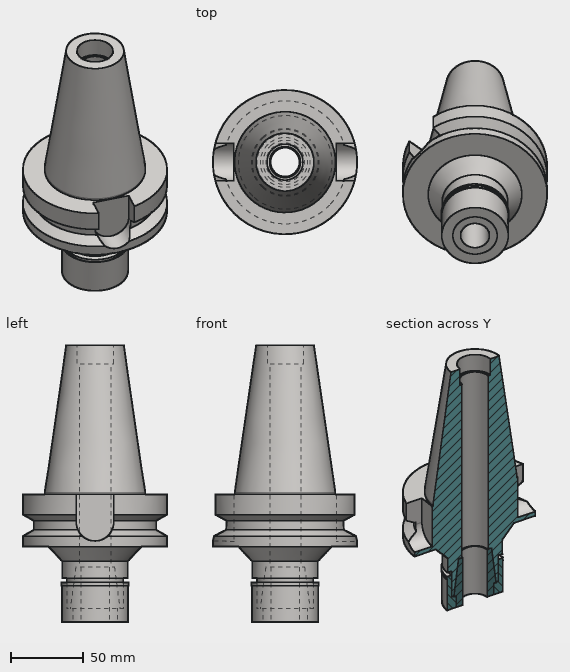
import cadquery as cq

total_height = 191.8
taper_length = 101.8
flange_gap = 1.5
flange_thickness = 36.0
gauge_z = total_height - taper_length
flange_top_z = gauge_z - flange_gap
flange_bottom_z = flange_top_z - flange_thickness
upper_rim_height = 14.0
lower_rim_height = 7.3
groove_flank_height = 4.2
neck_top_z = 42.2
neck_bottom_z = 30.5

taper_large_radius = 35.0
taper_slope = 7 / 48
taper_small_radius = taper_large_radius - taper_slope * taper_length
flange_diameter = 100.0
flange_radius = flange_diameter / 2
groove_radius = 42.5
shoulder_radius = 32.5
neck_radius = 22.8
thread_radius = 19.5

drawbar_bore_radius = 12.5
drawbar_bore_depth = 13.0
passage_radius = 10.7

slot_width = 25.9
slot_depth = 32.2
slot_floor_x = 35.5

nut_radius = 23.0
nut_rim_radius = 23.4
nut_rim_bottom_z = 25.3
nut_top_z = 27.6

nut_seat_z = 9.5

collet_nose_radius = 15.3
collet_large_radius = 17.3
collet_small_radius = 13.5
collet_bore_radius = 10.0
collet_height = 38.4


def revolve_profile(points):
    """Revolve a closed (radius, z) outline around the Z axis."""
    return cq.Workplane("XZ").polyline(points).close().revolve(360, (0, 0, 0), (0, 1, 0))


def make_drive_slot(side):
    """Round-ended slot cutter open at the flange top; side is +1 or -1 along X."""
    end_radius = slot_width / 2
    end_center_z = flange_top_z - slot_depth + end_radius
    return (
        cq.Workplane("YZ")
        .workplane(offset=side * slot_floor_x)
        .moveTo(-end_radius, flange_top_z)
        .lineTo(-end_radius, end_center_z)
        .threePointArc((0, end_center_z - end_radius), (end_radius, end_center_z))
        .lineTo(end_radius, flange_top_z)
        .close()
        .extrude(side * flange_radius)
    )


def make_holder():
    """Taper shank, grooved flange and threaded nose, bored through for drawbar and collet."""
    upper_rim_bottom_z = flange_top_z - upper_rim_height
    lower_rim_top_z = flange_bottom_z + lower_rim_height
    bore_floor_z = total_height - drawbar_bore_depth
    holder = revolve_profile([
        (collet_large_radius, nut_seat_z),
        (collet_small_radius, collet_height),
        (passage_radius, collet_height),
        (passage_radius, bore_floor_z),
        (drawbar_bore_radius, bore_floor_z),
        (drawbar_bore_radius, total_height),
        (taper_small_radius, total_height),
        (taper_large_radius, gauge_z),
        (taper_large_radius, flange_top_z),
        (flange_radius, flange_top_z),
        (flange_radius, upper_rim_bottom_z),
        (groove_radius, upper_rim_bottom_z - groove_flank_height),
        (groove_radius, lower_rim_top_z + groove_flank_height),
        (flange_radius, lower_rim_top_z),
        (flange_radius, flange_bottom_z),
        (shoulder_radius, flange_bottom_z),
        (neck_radius, neck_top_z),
        (neck_radius, neck_bottom_z),
        (thread_radius, neck_bottom_z),
        (thread_radius, nut_seat_z),
    ])
    for side in (-1, 1):
        holder = holder.cut(make_drive_slot(side))
    return holder


def make_nut():
    """Sleeve screwed over the holder nose, with a thin raised rim at its top."""
    return revolve_profile([
        (collet_nose_radius, 0),
        (nut_radius, 0),
        (nut_radius, nut_rim_bottom_z),
        (nut_rim_radius, nut_rim_bottom_z),
        (nut_rim_radius, nut_top_z),
        (thread_radius, nut_top_z),
        (thread_radius, nut_seat_z),
        (collet_nose_radius, nut_seat_z),
    ])


def make_collet():
    """Bored cone seated in the holder and held by the nut around its straight nose."""
    return revolve_profile([
        (collet_bore_radius, 0),
        (collet_nose_radius, 0),
        (collet_nose_radius, nut_seat_z),
        (collet_large_radius, nut_seat_z),
        (collet_small_radius, collet_height),
        (collet_bore_radius, collet_height),
    ])


holder = make_holder()
nut = make_nut()
collet = make_collet()

result = cq.Compound.makeCompound([holder.val(), nut.val(), collet.val()])